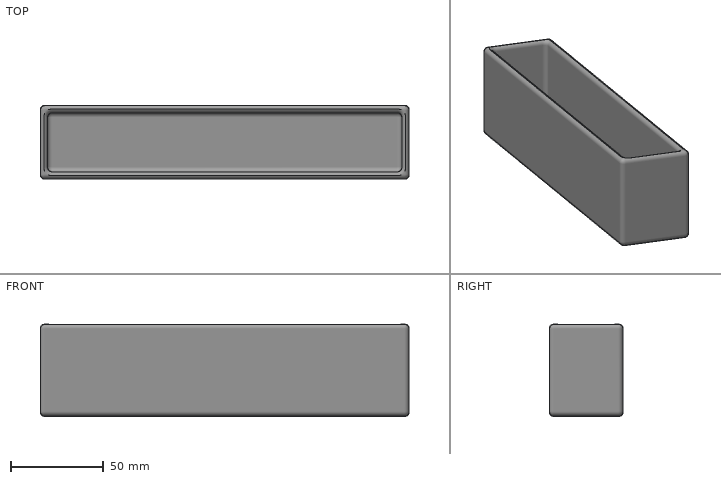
import cadquery as cq

length = 200.0
width = 40.0
height = 50.0

wall = 4.0
floor = wall

edge_radius = 2.5


def block(size_x, size_y, size_z):
    """Plain block standing on Z = 0, centred in X and Y."""
    return cq.Workplane("XY").box(size_x, size_y, size_z, centered=(True, True, False))


def rounded_outside():
    """Outer envelope with all twelve edges rounded."""
    return block(length, width, height).edges().fillet(edge_radius)


def cavity():
    """Open-topped pocket volume with rounded uprights and floor edges."""
    pocket = block(length - 2 * wall, width - 2 * wall, height - floor)
    pocket = pocket.edges("|Z or <Z").fillet(edge_radius)
    return pocket.translate((0, 0, floor))


def hollow_block():
    """Square-edged block with the cavity cut and the inner rim edge rounded."""
    hollow = block(length, width, height).cut(cavity())
    inner_rim = hollow.faces(">Z").val().innerWires()[0]
    return hollow.newObject(inner_rim.Edges()).fillet(edge_radius)


result = hollow_block().intersect(rounded_outside())